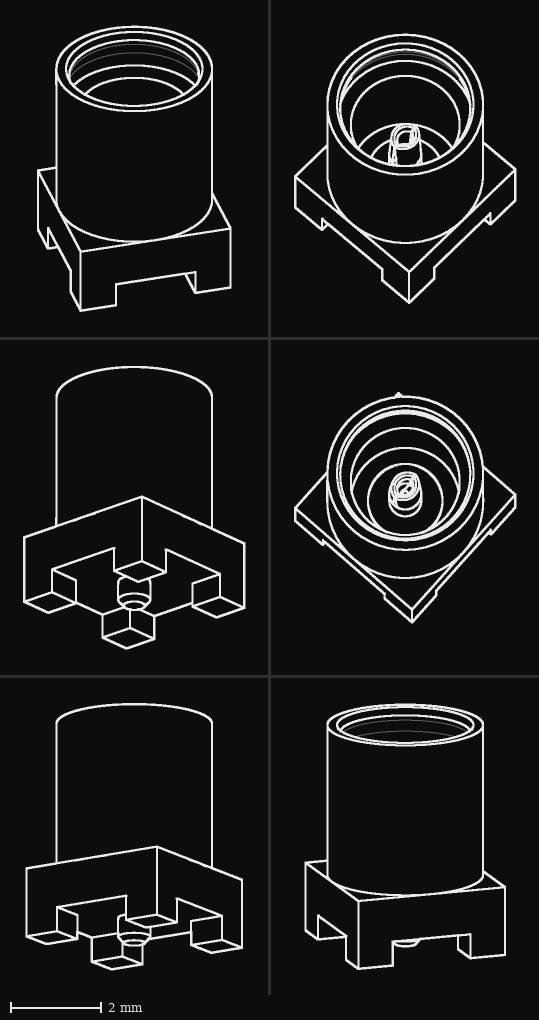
import cadquery as cq
import math

overall_height = 5.01

base_width = 3.45
base_top = 1.555
leg_height = 0.55
notch_width = 1.82

tube_diameter = base_width
tube_top = 4.99

mouth_diameter = 3.02
lip_diameter = 2.88
groove_diameter = mouth_diameter
bore_diameter = 2.41
lip_start_depth = 0.17
lip_end_depth = 0.28
groove_start_depth = 0.55
groove_end_depth = 0.88
bore_start_depth = 1.01
floor_height = base_top

insulator_diameter = 1.65
insulator_rise = 0.1

contact_diameter = 0.71
tail_bottom = tube_top - overall_height
tail_tip_diameter = 0.47
tail_chamfer_height = 0.14
contact_top = 3.4
slit_width = 0.14
slit_depth = 0.9
finger_lean = 0.065
socket_diameter = 0.44
countersink_diameter = 0.58
countersink_depth = 0.1
drill_tip_angle = 118
tip_radius_at_slit_floor = 0.06

contact_radius = contact_diameter / 2
socket_radius = socket_diameter / 2
slit_floor = contact_top - slit_depth


def revolve_profile(points):
    """Revolve a closed (radius, height) outline around the Z axis."""
    return cq.Workplane("XZ").polyline(points).close().revolve(360, (0, 0), (0, 1))


def make_base():
    base = cq.Workplane("XY").rect(base_width, base_width).extrude(base_top)
    for size_x, size_y in ((notch_width, base_width), (base_width, notch_width)):
        base = base.cut(cq.Workplane("XY").rect(size_x, size_y).extrude(leg_height))
    return base


def make_tube():
    tube_height = tube_top - base_top
    tube = cq.Workplane("XY").workplane(offset=base_top).circle(tube_diameter / 2).extrude(tube_height)
    bore = revolve_profile([
        (0, tube_top),
        (mouth_diameter / 2, tube_top),
        (lip_diameter / 2, tube_top - lip_start_depth),
        (lip_diameter / 2, tube_top - lip_end_depth),
        (groove_diameter / 2, tube_top - groove_start_depth),
        (groove_diameter / 2, tube_top - groove_end_depth),
        (bore_diameter / 2, tube_top - bore_start_depth),
        (bore_diameter / 2, floor_height),
        (0, floor_height),
    ])
    return tube.cut(bore)


def make_insulator():
    floor = cq.Workplane("XY").workplane(offset=floor_height)
    return floor.circle(insulator_diameter / 2).extrude(insulator_rise)


def make_socket_hole():
    """Countersunk blind hole whose drill cone ends just below the slit floor."""
    cone_slope = 1 / math.tan(math.radians(drill_tip_angle / 2))
    cone_bottom = slit_floor - tip_radius_at_slit_floor * cone_slope
    cone_top = cone_bottom + socket_radius * cone_slope
    return revolve_profile([
        (0, contact_top),
        (countersink_diameter / 2, contact_top),
        (socket_radius, contact_top - countersink_depth),
        (socket_radius, cone_top),
        (0, cone_bottom),
    ])


def make_contact():
    hole = make_socket_hole()
    stem = revolve_profile([
        (0, tail_bottom),
        (tail_tip_diameter / 2, tail_bottom),
        (contact_radius, tail_bottom + tail_chamfer_height),
        (contact_radius, slit_floor),
        (0, slit_floor),
    ]).cut(hole)

    finger_side = cq.Workplane("XY").box(
        contact_diameter, contact_radius, slit_depth, centered=(True, False, False)
    ).translate((0, slit_width / 2, slit_floor))
    finger = cq.Workplane("XY").workplane(offset=slit_floor).circle(contact_radius).extrude(slit_depth)
    finger = finger.cut(hole).intersect(finger_side)
    lean_angle = math.degrees(math.asin(finger_lean / slit_depth))
    root_start = (0, contact_radius, slit_floor)
    root_end = (1, contact_radius, slit_floor)
    finger = finger.rotate(root_start, root_end, lean_angle)

    return stem.union(finger).union(finger.mirror("XZ"))


result = make_base().union(make_tube()).union(make_insulator()).union(make_contact())